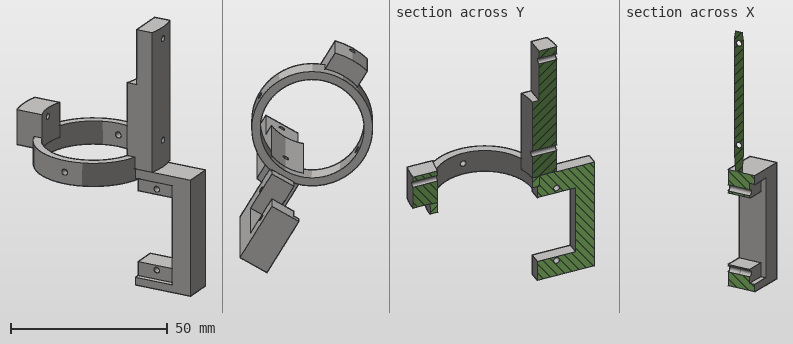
import cadquery as cq

ring_outer_radius = 38.5 / 2
ring_inner_radius = 33.1 / 2
ring_height = 8.0
seat_height = 4.0
ring_hole_diameter = 2.0

clamp_outer_radius = 25.3
clamp_width = 12.0
clamp_hole_diameter = 1.9
clamp_hole_height = 13.1
block_top = 16.0
post_step_height = 33.1
post_top = 52.0
post_upper_face_x = 18.9
post_upper_hole_height = post_top - 4.0

bracket_front_y = -clamp_width / 2
bracket_width = 10.0
bracket_end_x = 18.4
bracket_back_x = 38.5
bracket_height = 39.95
bracket_top = seat_height
bracket_bottom = bracket_top - bracket_height
upper_arm_thickness = 8.2
lower_arm_thickness = 7.4
opening_back_x = 31.8
ledge_depth = 1.85
upper_lip = 3.2
lower_lip = 2.6
bracket_hole_diameter = 1.9
bracket_hole_x = 25.2
bracket_hole_heights = (-2.4, -30.2)

through_length = 4 * clamp_outer_radius


def box_between(x_range, y_range, z_range):
    """Axis-aligned box given by its lower and upper limits."""
    size = [high - low for low, high in (x_range, y_range, z_range)]
    corner = (x_range[0], y_range[0], z_range[0])
    return cq.Workplane("XY").box(*size, centered=False).translate(corner)


def hole_along_x(diameter, height):
    """Horizontal drill through the Z axis, running in X."""
    return cq.Workplane("YZ").center(0, height).circle(diameter / 2).extrude(through_length / 2, both=True)


def hole_along_y(diameter, x, height):
    """Horizontal drill at a given X, running in Y."""
    drill = cq.Workplane("XZ").center(x, height).circle(diameter / 2)
    return drill.extrude(through_length / 2, both=True)


def tube(outer_radius, inner_radius, bottom, top):
    """Vertical tube about the Z axis."""
    profile = cq.Workplane("XY", origin=(0, 0, bottom)).circle(outer_radius).circle(inner_radius)
    return profile.extrude(top - bottom)


def clamp_segment(side, top):
    """Slice of a tube on one side of the ring: side is -1 for -X, +1 for +X."""
    wall = tube(clamp_outer_radius, ring_inner_radius, seat_height, top)
    x_range = sorted((0, side * through_length))
    slab = box_between(x_range, (-clamp_width / 2, clamp_width / 2), (seat_height, top))
    return wall.intersect(slab)


def make_ring():
    ring = tube(ring_outer_radius, ring_inner_radius, 0, ring_height)
    notches = box_between(
        (-ring_outer_radius, ring_outer_radius),
        (-clamp_width / 2, clamp_width / 2),
        (seat_height, ring_height),
    )
    return ring.cut(notches).cut(hole_along_y(ring_hole_diameter, 0, ring_height / 2))


def make_block():
    return clamp_segment(-1, block_top).cut(hole_along_x(clamp_hole_diameter, clamp_hole_height))


def make_post():
    post = clamp_segment(1, post_top)
    step = box_between((0, post_upper_face_x), (-clamp_width, clamp_width), (post_step_height, post_top))
    post = post.cut(step)
    for height in (clamp_hole_height, post_upper_hole_height):
        post = post.cut(hole_along_x(clamp_hole_diameter, height))
    return post


def make_bracket():
    bracket_rear_y = bracket_front_y + bracket_width
    y_range = (bracket_front_y, bracket_rear_y)
    bracket = box_between((bracket_end_x, bracket_back_x), y_range, (bracket_bottom, bracket_top))

    opening_z = (bracket_bottom + lower_arm_thickness, bracket_top - upper_arm_thickness)
    bracket = bracket.cut(box_between((bracket_end_x, opening_back_x), y_range, opening_z))

    ledge_y = (bracket_front_y, bracket_front_y + ledge_depth)
    ledge_z = (bracket_bottom + lower_lip, bracket_top - upper_lip)
    bracket = bracket.cut(box_between((bracket_end_x, opening_back_x), ledge_y, ledge_z))

    for height in bracket_hole_heights:
        bracket = bracket.cut(hole_along_y(bracket_hole_diameter, bracket_hole_x, height))

    ring_envelope = cq.Workplane("XY").circle(ring_outer_radius).extrude(seat_height)
    return bracket.cut(ring_envelope)


ring = make_ring()
block = make_block()
post = make_post()
bracket = make_bracket()

result = cq.Compound.makeCompound([ring.val(), block.val(), post.val(), bracket.val()])